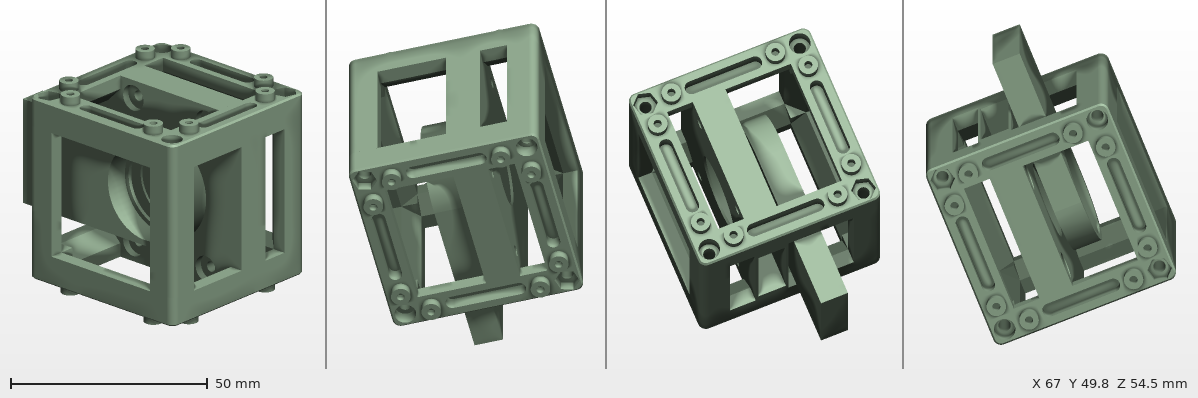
import cadquery as cq
import math

cage_size = 49.8
opening_size = 34.0
bar_flat = 3.7
corner_radius = 2.1
edge_chamfer = 0.45

peg_diameter = 4.95
peg_height = 2.35
peg_hole_diameter = 2.05
peg_hole_depth = peg_height
bar_line = 20.7
peg_offset = 14.3
slot_length = 21.0
slot_width = 3.5
slot_depth = 4.0

bolt_offset = 21.2
bolt_hole_diameter = 3.1
bolt_head_diameter = 5.5
bolt_head_depth = 4.0
nut_across_flats = 5.5
nut_depth = 3.0
nut_turn = 15

plate_thickness = 4.5
plate_joint_y = 5.45
beam_diameter = 20.0
plate_slot_radius = 14.75
plate_slot_depth = 3.8
screw_offset_x = 12.5
screw_offset_z = 20.0
screw_hole_diameter = 2.8
screw_head_diameter = 7.0
screw_head_depth = 2.0

slider_thickness = 7.4
slider_center_y = -4.6
slider_length = 42.08
slider_radius = 14.3
filter_diameter = 25.55
filter_lip_diameter = 23.0
filter_lip_thickness = 1.0

half_cage = cage_size / 2
half_opening = opening_size / 2
bevel_start = half_cage - bar_flat
bar_width = half_cage - half_opening
screw_points = [(x * screw_offset_x, z * screw_offset_z) for x in (-1, 1) for z in (-1, 1)]


def bevelled_block(plane, half_length):
    """Octagonal block with short 45 degree corners, extruded both ways from the plane."""
    corner = [(half_opening, bevel_start), (bevel_start, half_opening)]
    outline = []
    for quarter in range(4):
        for u, v in reversed(corner):
            turn = math.radians(90 * quarter)
            outline.append((
                u * math.cos(turn) - v * math.sin(turn),
                u * math.sin(turn) + v * math.cos(turn),
            ))
    return cq.Workplane(plane).polyline(outline).close().extrude(half_length, both=True)


def open_cage():
    """Whole cube cage: square openings through all faces and bars bevelled on the inside."""
    cage = (
        cq.Workplane("XY")
        .box(cage_size, cage_size, cage_size)
        .edges("|Z").fillet(corner_radius)
        .faces("<Z or >Z").chamfer(edge_chamfer)
    )
    for plane in ("XY", "XZ", "YZ"):
        cage = cage.cut(cq.Workplane(plane).rect(opening_size, opening_size).extrude(half_cage, both=True))
        cage = cage.cut(bevelled_block(plane, half_opening))
    return cage


def cage_half():
    """Upper half: top ring plus the two posts that reach down to the other half's ring."""
    ring = cq.Workplane("XY").workplane(offset=half_opening).rect(cage_size, cage_size).extrude(bar_width)
    post_line = half_opening + bar_width / 2
    posts = (
        cq.Workplane("XY").workplane(offset=-half_opening)
        .pushPoints([(post_line, -post_line), (-post_line, post_line)])
        .rect(bar_width, bar_width)
        .extrude(opening_size)
    )
    half = open_cage().intersect(ring.union(posts))

    face = cq.Workplane("XY").workplane(offset=half_cage)
    row_ends = [(side * bar_line, end * peg_offset) for side in (-1, 1) for end in (-1, 1)]
    peg_points = row_ends + [(y, x) for x, y in row_ends]
    half = half.union(face.pushPoints(peg_points).circle(peg_diameter / 2).extrude(peg_height))
    peg_holes = (
        face.workplane(offset=peg_height).pushPoints(peg_points)
        .circle(peg_hole_diameter / 2).extrude(-peg_hole_depth)
    )
    half = half.cut(peg_holes)

    for side in (-bar_line, bar_line):
        half = half.cut(face.center(side, 0).slot2D(slot_length, slot_width, 90).extrude(-slot_depth))
        half = half.cut(face.center(0, side).slot2D(slot_length, slot_width).extrude(-slot_depth))

    post_bolts = [(bolt_offset, -bolt_offset), (-bolt_offset, bolt_offset)]
    nut_bolts = [(bolt_offset, bolt_offset), (-bolt_offset, -bolt_offset)]
    bolt_holes = face.pushPoints(post_bolts + nut_bolts).circle(bolt_hole_diameter / 2).extrude(-cage_size)
    bolt_heads = face.pushPoints(post_bolts).circle(bolt_head_diameter / 2).extrude(-bolt_head_depth)
    half = half.cut(bolt_holes).cut(bolt_heads)
    for point in nut_bolts:
        nut = (
            cq.Workplane("XY").polygon(6, nut_across_flats / math.cos(math.pi / 6)).extrude(-nut_depth)
            .rotate((0, 0, 0), (0, 0, 1), nut_turn)
            .translate((*point, half_cage))
        )
        half = half.cut(nut)
    return half


def cylinders_along_y(points, diameter, y_start, y_end):
    """Cylinders parallel to Y at the given (x, z) points."""
    plane = cq.Workplane("XZ", origin=(0, y_start, 0))
    return plane.pushPoints(points).circle(diameter / 2).extrude(y_start - y_end)


def tongue(length, radius, y_start, y_end):
    """Bar along X with its free end at -length and a round end centred on the beam axis."""
    return (
        cq.Workplane("XZ", origin=(0, y_start, 0))
        .moveTo(-length, -radius)
        .lineTo(0, -radius)
        .threePointArc((radius, 0), (0, radius))
        .lineTo(-length, radius)
        .close()
        .extrude(y_start - y_end)
    )


def insert_plate(side):
    """One plate of the insert, lying on the given side (-1 or 1) of the joint along Y."""
    outer_y = plate_joint_y + side * plate_thickness
    middle_y = (plate_joint_y + outer_y) / 2
    plate = bevelled_block("XZ", plate_thickness / 2)
    for width, height in ((cage_size, opening_size), (opening_size, cage_size)):
        plate = plate.union(cq.Workplane("XY").box(width, plate_thickness, height))
    plate = plate.translate((0, middle_y, 0))

    slot_floor = plate_joint_y + side * plate_slot_depth
    plate = plate.cut(tongue(half_cage, plate_slot_radius, plate_joint_y, slot_floor))
    plate = plate.cut(cylinders_along_y([(0, 0)], beam_diameter, plate_joint_y, outer_y))
    return plate.cut(cylinders_along_y(screw_points, screw_hole_diameter, plate_joint_y, outer_y))


def front_plate():
    """Plate on the -Y side, with counterbores for the screw heads."""
    front_y = plate_joint_y - plate_thickness
    heads = cylinders_along_y(screw_points, screw_head_diameter, front_y, front_y + screw_head_depth)
    return insert_plate(-1).cut(heads)


def filter_slider():
    """Slider with a round end that holds the filter against a lip."""
    front_y = slider_center_y - slider_thickness / 2
    back_y = slider_center_y + slider_thickness / 2
    lip_y = back_y - filter_lip_thickness
    slider = tongue(slider_length, slider_radius, front_y, back_y)
    slider = slider.cut(cylinders_along_y([(0, 0)], filter_diameter, front_y, lip_y))
    return slider.cut(cylinders_along_y([(0, 0)], filter_lip_diameter, lip_y, back_y))


upper_half = cage_half()
lower_half = cage_half().rotate((0, 0, 0), (1, 0, 0), 180)
front_insert = front_plate()
back_insert = insert_plate(1)
slider = filter_slider()

result = cq.Compound.makeCompound([
    upper_half.val(),
    lower_half.val(),
    front_insert.val(),
    back_insert.val(),
    slider.val(),
])